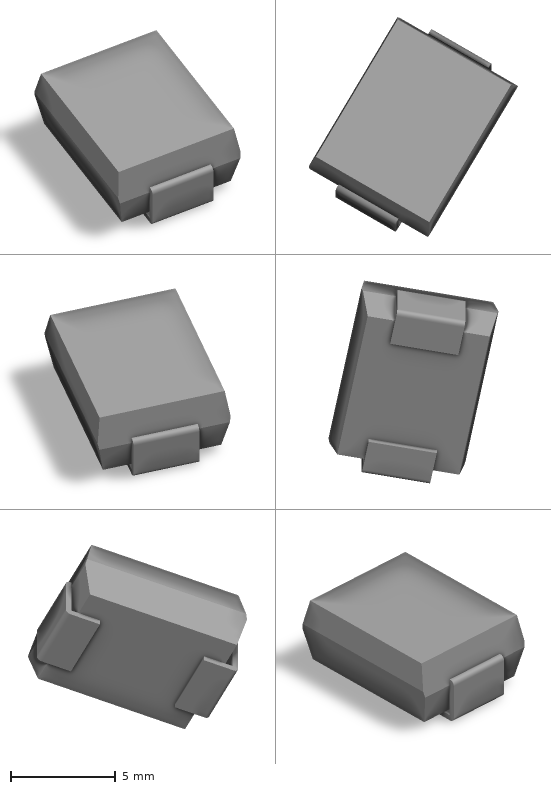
import cadquery as cq

overall_length = 9.12
body_width = 6.7
overall_height = 3.7

body_length = 8.55
end_face_length = 7.77
top_width = 6.31
bottom_width = 5.96
side_ridge_height = 2.32

lead_thickness = 0.29
lead_width = 3.33
lead_height = 2.32
foot_length = 1.81
lead_radius = 0.25

body_bottom = lead_thickness
end_ridge_height = (body_bottom + overall_height) / 2


def tapered_prism(plane, bottom, ridge, top, ridge_height, depth):
    """Extrude a symmetric six-sided section that is widest at ridge_height."""
    right_side = [
        (bottom / 2, body_bottom),
        (ridge / 2, ridge_height),
        (top / 2, overall_height),
    ]
    left_side = [(-across, height) for across, height in reversed(right_side)]
    section = cq.Workplane(plane).polyline(right_side + left_side).close()
    return section.extrude(depth / 2, both=True)


def make_body():
    """Intersect the lengthwise and crosswise sections, so all four sides taper."""
    lengthwise = tapered_prism(
        "XZ", end_face_length, body_length, end_face_length, end_ridge_height, body_width
    )
    crosswise = tapered_prism(
        "YZ", bottom_width, body_width, top_width, side_ridge_height, body_length
    )
    return lengthwise.intersect(crosswise)


def make_left_lead():
    """L-shaped strip with its outer bend and upper outer edge rounded."""
    outer_x = -overall_length / 2
    inner_x = outer_x + lead_thickness
    foot_end_x = outer_x + foot_length
    section = cq.Workplane("XZ").polyline([
        (outer_x, 0),
        (foot_end_x, 0),
        (foot_end_x, lead_thickness),
        (inner_x, lead_thickness),
        (inner_x, lead_height),
        (outer_x, lead_height),
    ]).close()
    lead = section.extrude(lead_width / 2, both=True)
    return lead.faces("<X").edges("|Y").fillet(lead_radius)


left_lead = make_left_lead()
right_lead = left_lead.mirror("YZ")
result = make_body().union(left_lead).union(right_lead)